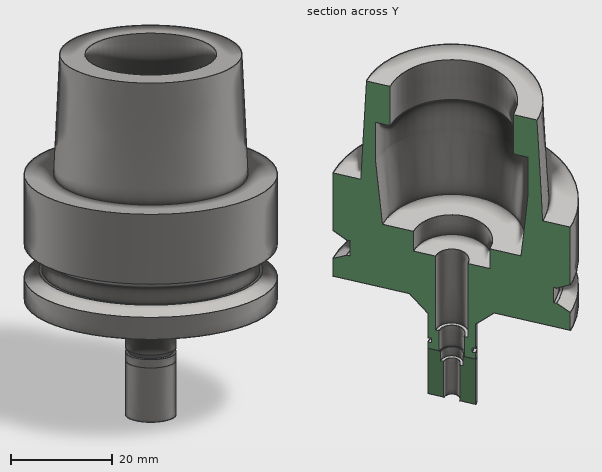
import cadquery as cq

total_height = 75.0
tip_top = 11.3
stem_groove_bottom = 13.05
stem_groove_top = 14.0
stem_top = 20.1
flange_bottom = 24.0
flange_top = 50.0
v_groove_bottom = 28.6
v_groove_floor_bottom = 30.15
v_groove_floor_top = 33.8
v_groove_top = 35.5

flange_radius = 50.0 / 2
v_groove_radius = 21.5
v_groove_ledge_radius = 22.1
taper_base_radius = 19.2
taper_top_radius = 18.0
cone_radius = 8.9
stem_radius = 5.0
stem_groove_radius = 4.35

mouth_radius = 13.0
mouth_depth = 10.0
chamber_radius = 16.0
chamber_depth = 19.8
chamber_floor_radius = 14.55
chamber_floor_depth = 35.0
well_radius = 8.0
well_depth = 40.0
passage_radius = 3.4
passage_floor = 16.5
neck_radius = 2.6
tip_recess_radius = 2.3
tip_recess_depth = 2.25
tip_bore_radius = 1.65


def cylinder(radius, bottom, top):
    """Vertical cylinder on the part axis between two heights."""
    return cq.Workplane("XY").workplane(offset=bottom).circle(radius).extrude(top - bottom)


def taper(bottom_radius, top_radius, bottom, top):
    """Vertical cone frustum on the part axis between two heights."""
    base = cq.Vector(0, 0, bottom)
    return cq.Workplane(cq.Solid.makeCone(bottom_radius, top_radius, top - bottom, base))


def make_holder_blank():
    """Turned outside of the holder: stem, cone, grooved flange and taper."""
    outline = [
        (0, tip_top),
        (stem_radius, tip_top),
        (stem_radius, stem_groove_bottom),
        (stem_groove_radius, stem_groove_bottom),
        (stem_groove_radius, stem_groove_top),
        (stem_radius, stem_groove_top),
        (stem_radius, stem_top),
        (cone_radius, flange_bottom),
        (flange_radius, flange_bottom),
        (flange_radius, v_groove_bottom),
        (v_groove_ledge_radius, v_groove_floor_bottom),
        (v_groove_radius, v_groove_floor_bottom),
        (v_groove_radius, v_groove_floor_top),
        (v_groove_ledge_radius, v_groove_floor_top),
        (flange_radius, v_groove_top),
        (flange_radius, flange_top),
        (taper_base_radius, flange_top),
        (taper_top_radius, total_height),
        (0, total_height),
    ]
    return cq.Workplane("XZ").polyline(outline).close().revolve(360, (0, 0, 0), (0, 1, 0))


def make_holder():
    """Holder with its tapering, undercut clamping chamber and stepped central bore."""
    mouth_bottom = total_height - mouth_depth
    chamber_bottom = total_height - chamber_depth
    chamber_floor = total_height - chamber_floor_depth
    well_bottom = total_height - well_depth
    holder = make_holder_blank()
    holder = holder.cut(cylinder(mouth_radius, mouth_bottom, total_height))
    holder = holder.cut(cylinder(chamber_radius, chamber_bottom, mouth_bottom))
    holder = holder.cut(taper(chamber_floor_radius, chamber_radius, chamber_floor, chamber_bottom))
    holder = holder.cut(cylinder(well_radius, well_bottom, chamber_floor))
    holder = holder.cut(cylinder(passage_radius, passage_floor, well_bottom))
    return holder.cut(cylinder(neck_radius, tip_top, passage_floor))


def make_tip():
    """Tubular tip below the stem, recessed at its upper end."""
    tip = cylinder(stem_radius, 0, tip_top)
    tip = tip.cut(cylinder(tip_bore_radius, 0, tip_top))
    return tip.cut(cylinder(tip_recess_radius, tip_top - tip_recess_depth, tip_top))


holder = make_holder()
tip = make_tip()

result = cq.Compound.makeCompound([holder.val(), tip.val()])